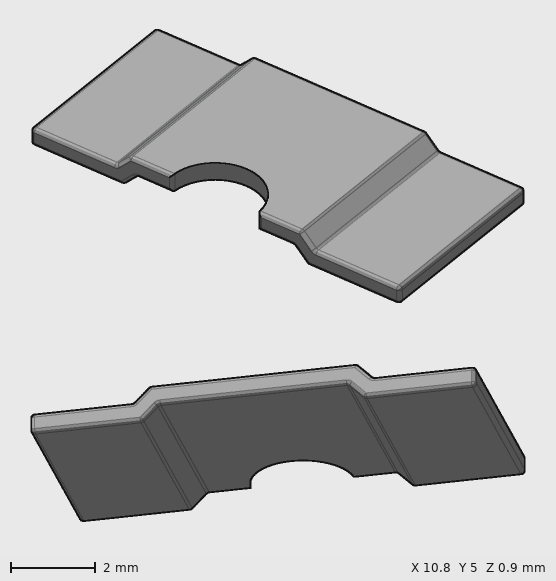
import cadquery as cq
import math

length = 10.8
width = 5.0
thickness = 0.5
overall_height = 0.9

ramp_angle = 45.0
step_height = overall_height - thickness
ramp_run = step_height / math.tan(math.radians(ramp_angle))
bottom_ramp_start = 2.7
bottom_ramp_end = bottom_ramp_start - ramp_run
bend_shift = thickness * math.tan(math.radians(ramp_angle / 2))
top_ramp_start = bottom_ramp_start + bend_shift
top_ramp_end = bottom_ramp_end + bend_shift

notch_radius = 1.25

edge_radius = 0.1


def make_bent_strip():
    """Joggled sheet, centred on X and Y, resting on Z = 0."""
    half_length = length / 2
    right_half = [
        (bottom_ramp_end, step_height),
        (bottom_ramp_start, 0),
        (half_length, 0),
        (half_length, thickness),
        (top_ramp_start, thickness),
        (top_ramp_end, overall_height),
    ]
    left_half = [(-x, z) for x, z in reversed(right_half)]
    return (
        cq.Workplane("XZ")
        .polyline(right_half + left_half)
        .close()
        .extrude(width / 2, both=True)
    )


def make_notch_cutter():
    """Upright cylinder that removes the notch through the raised middle."""
    return (
        cq.Workplane("XY")
        .center(0, -width / 2)
        .circle(notch_radius)
        .extrude(overall_height)
    )


def round_straight_edges(body):
    """Round every straight edge; the notch arcs stay sharp."""
    return body.edges("%LINE").fillet(edge_radius)


result = round_straight_edges(make_bent_strip().cut(make_notch_cutter()))